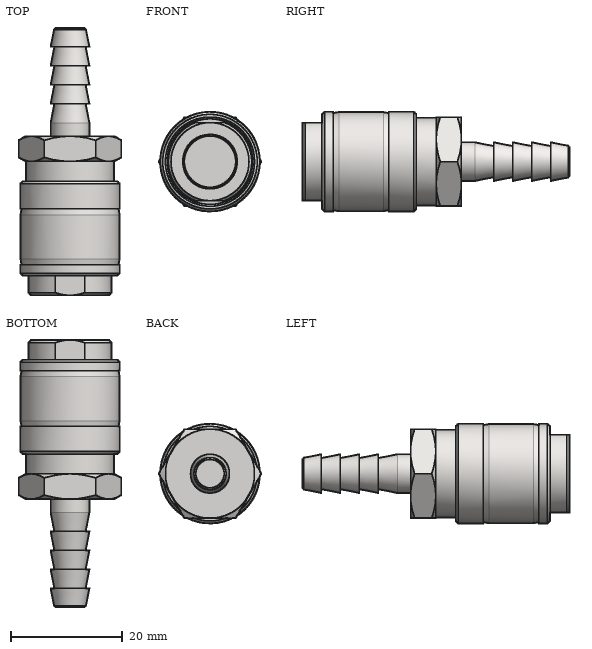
import cadquery as cq
import math

total_length = 48.0

nose_radius = 7.5
nose_across_flats = 14.0
nose_chamfer = 0.5
socket_radius = 4.6
socket_depth = 0.8
socket_chamfer = 0.3

sleeve_start = 3.5
sleeve_end = 20.5
sleeve_radius = 9.0
sleeve_chamfer = 0.5
taper_length = 1.0
front_taper_start = 5.5
rear_taper_end = 15.5
taper_root_radius = 8.75
grip_radius = 8.95
relief_mouth_radius = 8.0
relief_radius = 7.7
relief_depth = 0.5

neck_radius = 7.9
nut_start = 24.05
nut_length = 4.5
nut_across_corners = 18.5
nut_chamfer_angle = 30.0

barb_count = 5
barb_pitch = 3.4
barb_crest_radius = 3.5
barb_root_radius = 2.85
tip_chamfer = 0.3


def revolve_profile(points):
    """Revolve a closed (radius, y) outline about the Y axis."""
    return cq.Workplane("XY").polyline(points).close().revolve(360, (0, 0, 0), (0, 1, 0))


def make_nose():
    length = sleeve_start + relief_depth
    nose = revolve_profile([
        (0, 0),
        (nose_radius - nose_chamfer, 0),
        (nose_radius, nose_chamfer),
        (nose_radius, length),
        (0, length),
    ])
    flats = cq.Workplane("XY").box(
        2 * nose_radius, length, nose_across_flats, centered=(True, False, True)
    )
    socket = revolve_profile([
        (0, 0),
        (socket_radius + socket_chamfer, 0),
        (socket_radius, socket_chamfer),
        (socket_radius, socket_depth),
        (0, socket_depth),
    ])
    return nose.intersect(flats).cut(socket)


def make_sleeve():
    return revolve_profile([
        (0, sleeve_start + relief_depth),
        (relief_radius, sleeve_start + relief_depth),
        (relief_mouth_radius, sleeve_start),
        (sleeve_radius - sleeve_chamfer, sleeve_start),
        (sleeve_radius, sleeve_start + sleeve_chamfer),
        (sleeve_radius, front_taper_start),
        (taper_root_radius, front_taper_start),
        (grip_radius, front_taper_start + taper_length),
        (grip_radius, rear_taper_end - taper_length),
        (taper_root_radius, rear_taper_end),
        (sleeve_radius, rear_taper_end),
        (sleeve_radius, sleeve_end - sleeve_chamfer),
        (sleeve_radius - sleeve_chamfer, sleeve_end),
        (0, sleeve_end),
    ])


def make_neck():
    return revolve_profile([
        (0, sleeve_end),
        (neck_radius, sleeve_end),
        (neck_radius, nut_start),
        (0, nut_start),
    ])


def make_nut():
    nut_end = nut_start + nut_length
    corner_radius = nut_across_corners / 2
    flat_radius = corner_radius * math.cos(math.pi / 6)
    chamfer_length = (corner_radius - flat_radius) * math.tan(math.radians(nut_chamfer_angle))
    hexagon = (
        cq.Workplane("XZ", origin=(0, nut_start, 0))
        .polygon(6, nut_across_corners)
        .extrude(-nut_length)
    )
    chamfer_envelope = revolve_profile([
        (0, nut_start),
        (flat_radius, nut_start),
        (corner_radius, nut_start + chamfer_length),
        (corner_radius, nut_end - chamfer_length),
        (flat_radius, nut_end),
        (0, nut_end),
    ])
    return hexagon.intersect(chamfer_envelope)


def make_hose_tail():
    stub_start = nut_start + nut_length
    barbs_start = total_length - barb_count * barb_pitch
    barb_slope = (barb_crest_radius - barb_root_radius) / barb_pitch
    points = [(0, stub_start), (barb_crest_radius, stub_start)]
    for index in range(barb_count):
        crest = barbs_start + index * barb_pitch
        points.append((barb_crest_radius, crest))
        if index < barb_count - 1:
            points.append((barb_root_radius, crest + barb_pitch))
    points += [
        (barb_root_radius + barb_slope * tip_chamfer, total_length - tip_chamfer),
        (barb_root_radius - tip_chamfer, total_length),
        (0, total_length),
    ]
    return revolve_profile(points)


result = make_nose().union(make_sleeve()).union(make_neck()).union(make_nut()).union(make_hose_tail())